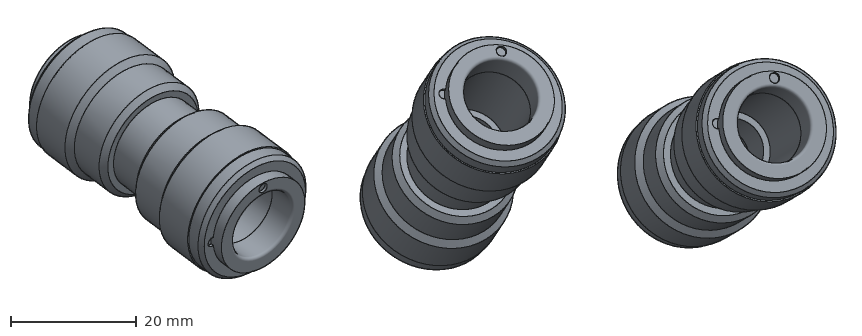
import cadquery as cq


total_length = 47.0
half_length = total_length / 2
cap_face_depth = 2.0
seam_depth = 5.0
barrel_end_depth = 11.95
flange_end_depth = 20.0

barrel_diameter = 23.0
cap_diameter = 22.5
flange_diameter = 20.8
neck_diameter = 16.5
collet_diameter = 17.4
tube_diameter = 12.2
through_diameter = 10.0

shoulder_bevel_length = 1.05
flange_chamfer = 1.0
cap_chamfer = 0.7
collet_mouth_fillet = 0.5

mark_diameter = 1.7
mark_depth = 0.5
collet_mark_offset = 7.6
cap_mark_offset = 8.9

mouth_x = -half_length
cap_face_x = cap_face_depth - half_length
seam_x = seam_depth - half_length
barrel_end_x = barrel_end_depth - half_length
flange_end_x = flange_end_depth - half_length

end_turns = (0, 180)


def cylinder(diameter, start_x, end_x, y=0, z=0):
    """Cylinder parallel to X between two X positions, centred on (y, z)."""
    profile = cq.Workplane("YZ", origin=(start_x, y, z)).circle(diameter / 2)
    return profile.extrude(end_x - start_x)


def place_at_end(part, turn):
    """Turn a part modelled at the -X end into its place."""
    return part.rotate((0, 0, 0), (0, 0, 1), turn)


def make_housing():
    """Stepped sleeve with a tube socket at each end and a stop in the neck."""
    barrel_radius = barrel_diameter / 2
    flange_radius = flange_diameter / 2
    left_outline = [
        (seam_x, 0),
        (seam_x, barrel_radius),
        (barrel_end_x, barrel_radius),
        (barrel_end_x + shoulder_bevel_length, flange_radius),
        (flange_end_x - flange_chamfer, flange_radius),
        (flange_end_x, flange_radius - flange_chamfer),
        (flange_end_x, neck_diameter / 2),
    ]
    right_outline = [(-x, radius) for x, radius in reversed(left_outline)]
    outline = cq.Workplane("XY").polyline(left_outline + right_outline).close()
    body = outline.revolve(360, (0, 0, 0), (1, 0, 0))

    body = body.cut(cylinder(through_diameter, seam_x, -seam_x))
    socket = cylinder(tube_diameter, seam_x, flange_end_x)
    for turn in end_turns:
        body = body.cut(place_at_end(socket, turn))
    return body


def make_cap(turn):
    """Chamfered ring that surrounds the collet and closes the housing end."""
    cap = cylinder(cap_diameter, cap_face_x, seam_x).faces("<X").chamfer(cap_chamfer)
    cap = cap.cut(cylinder(collet_diameter, cap_face_x, seam_x))
    mark = cylinder(mark_diameter, cap_face_x, cap_face_x + mark_depth, y=cap_mark_offset)
    return place_at_end(cap.cut(mark), turn)


def make_collet(turn):
    """Sleeve that holds the tube, with a rounded mouth."""
    collet = cylinder(collet_diameter, mouth_x, seam_x)
    collet = collet.cut(cylinder(tube_diameter, mouth_x, seam_x))
    mouth_edge = cq.selectors.RadiusNthSelector(0)
    collet = collet.faces("<X").edges(mouth_edge).fillet(collet_mouth_fillet)
    mark = cylinder(mark_diameter, mouth_x, mouth_x + mark_depth, z=collet_mark_offset)
    return place_at_end(collet.cut(mark), turn)


housing = make_housing()
caps = [make_cap(turn) for turn in end_turns]
collets = [make_collet(turn) for turn in end_turns]

result = cq.Compound.makeCompound([
    housing.val(),
    *[cap.val() for cap in caps],
    *[collet.val() for collet in collets],
])